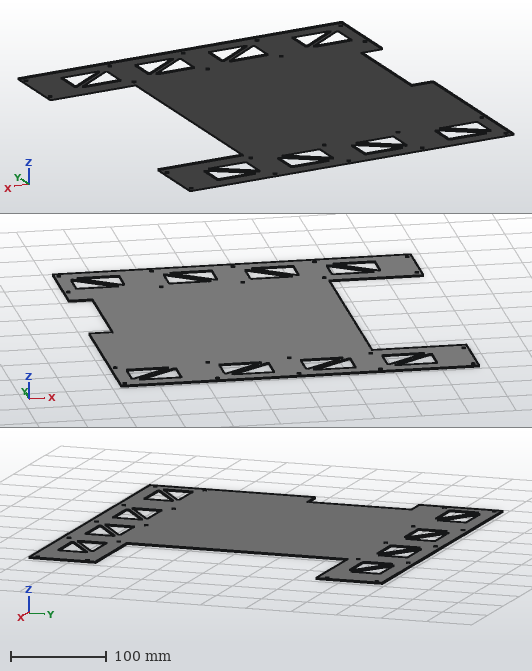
import cadquery as cq
import math

length = 380.0
width = 390.0
thickness = 1.5

strip_width = 73.0
right_notch_depth = 100.0

left_notch_depth = 25.0
left_notch_top = 103.0
left_notch_bottom = -12.0

hole_diameter = 3.25
end_hole_margin = 5.0
end_hole_x = length / 2 - end_hole_margin
inner_hole_x = 86.5
hole_columns = [-end_hole_x, -inner_hole_x, 0.0, inner_hole_x, end_hole_x]
row_centre_y = 160.0
row_spacing = 55.0

window_length = 52.0
window_width = 36.5
window_offset_x = 36.25
bar_width = 5.0
corner_radius = 1.5

cut_height = 3 * thickness


def make_plate():
    return cq.Workplane("XY").box(length, width, thickness)


def notch_cutter(x_min, x_max, y_min, y_max):
    return (
        cq.Workplane("XY")
        .box(x_max - x_min, y_max - y_min, cut_height)
        .translate(((x_min + x_max) / 2, (y_min + y_max) / 2, 0))
    )


def hole_cutter():
    row_offsets = (-row_spacing / 2, row_spacing / 2)
    centres = [
        (x, side * row_centre_y + offset)
        for x in hole_columns
        for side in (-1, 1)
        for offset in row_offsets
    ]
    return (
        cq.Workplane("XY")
        .pushPoints(centres)
        .circle(hole_diameter / 2)
        .extrude(cut_height / 2, both=True)
    )


def window_triangles():
    """Two rounded triangles either side of a bar that falls from upper left to lower right."""
    diagonal = math.hypot(window_length, window_width)
    trim_x = bar_width / 2 * diagonal / window_width
    trim_y = bar_width / 2 * diagonal / window_length
    right = window_length / 2
    top = window_width / 2
    upper = (
        cq.Workplane("XY")
        .polyline([(right, top), (trim_x - right, top), (right, trim_y - top)])
        .close()
        .extrude(cut_height / 2, both=True)
        .edges("|Z")
        .fillet(corner_radius)
    )
    lower = upper.rotate((0, 0, 0), (0, 0, 1), 180)
    return upper, lower


def window_cutters():
    """Windows of both strips, mirrored about the XZ plane."""
    cutters = []
    for column_x in hole_columns[:-1]:
        for triangle in window_triangles():
            cutter = triangle.translate((column_x + window_offset_x, row_centre_y, 0))
            cutters.append(cutter)
            cutters.append(cutter.mirror("XZ"))
    return cutters


strip_edge_y = width / 2 - strip_width
right_end = length / 2
left_end = -length / 2

result = make_plate()
result = result.cut(notch_cutter(right_end - right_notch_depth, right_end, -strip_edge_y, strip_edge_y))
result = result.cut(notch_cutter(left_end, left_end + left_notch_depth, left_notch_bottom, left_notch_top))
result = result.cut(hole_cutter())
for window in window_cutters():
    result = result.cut(window)